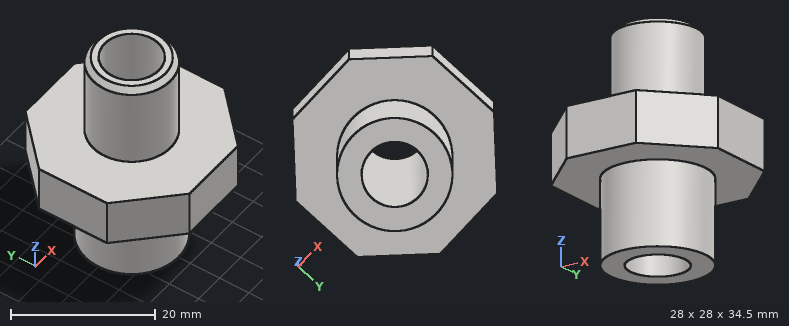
import cadquery as cq
import math

total_height = 34.5
octagon_width = 28.0
octagon_height = 7.75

lower_diameter = 16.0
lower_height = 12.8
upper_diameter = 13.18
upper_height = total_height - lower_height - octagon_height
tip_chamfer = 0.9

bore_diameter = 9.18


def lower_spigot():
    """Plain cylinder below the octagonal collar."""
    return cq.Workplane("XY").circle(lower_diameter / 2).extrude(lower_height)


def octagonal_collar():
    """Regular octagon with flats facing X and Y."""
    corner_cut = octagon_width / (2 + math.sqrt(2))
    return (
        cq.Workplane("XY")
        .workplane(offset=lower_height)
        .rect(octagon_width, octagon_width)
        .extrude(octagon_height)
        .edges("|Z")
        .chamfer(corner_cut)
    )


def upper_spigot():
    """Narrower cylinder above the collar, chamfered at its tip."""
    return (
        cq.Workplane("XY")
        .workplane(offset=lower_height + octagon_height)
        .circle(upper_diameter / 2)
        .extrude(upper_height)
        .faces(">Z")
        .chamfer(tip_chamfer)
    )


def through_bore():
    """Cutter for the straight bore through the full height."""
    return cq.Workplane("XY").circle(bore_diameter / 2).extrude(total_height)


result = lower_spigot().union(octagonal_collar()).union(upper_spigot()).cut(through_bore())